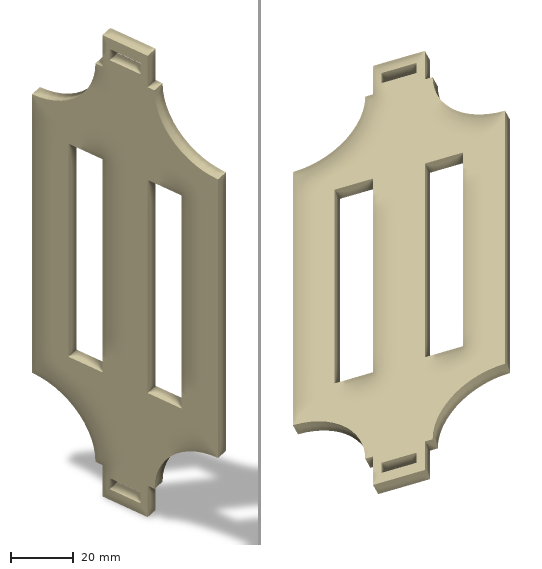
import cadquery as cq

length = 192.0
width = 73.1
thickness = 4.5

corner_radius = 25.0
tab_width = 17.9
tab_length = 13.0

slot_width = 13.2
slot_length = 88.7
web_width = 17.9

strap_width = 12.0
strap_height = 4.6
strap_end_margin = 4.5

body_length = length - 2 * tab_length
slot_offset = (web_width + slot_width) / 2
strap_offset = length / 2 - strap_end_margin - strap_height / 2


def plate_block(block_width, block_length):
    return cq.Workplane("XY").box(block_width, thickness, block_length)


def body():
    """Rectangular plate with a quarter circle removed at each corner."""
    corners = [
        (x * width / 2, z * body_length / 2) for x in (-1, 1) for z in (-1, 1)
    ]
    corner_cutters = (
        cq.Workplane("XZ", origin=(0, thickness / 2, 0))
        .pushPoints(corners)
        .circle(corner_radius)
        .extrude(thickness)
    )
    return plate_block(width, body_length).cut(corner_cutters)


result = body().union(plate_block(tab_width, length))

for side in (-1, 1):
    long_slot = plate_block(slot_width, slot_length)
    result = result.cut(long_slot.translate((side * slot_offset, 0, 0)))

    strap_opening = plate_block(strap_width, strap_height)
    result = result.cut(strap_opening.translate((0, 0, side * strap_offset)))